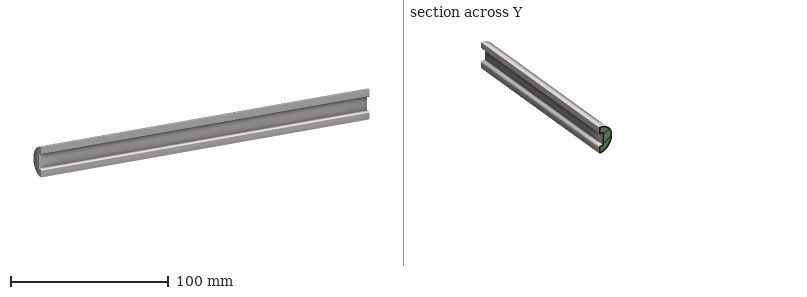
import cadquery as cq

bar_length = 240.0
bar_radius = 10.0
groove_width = 9.5
groove_depth = 3.0
mouth_chamfer = 0.7

half_round = (
    cq.Workplane("XZ")
    .moveTo(0, bar_radius)
    .threePointArc((-bar_radius, 0), (0, -bar_radius))
    .close()
    .extrude(bar_length / 2, both=True)
)

half_groove = groove_width / 2
half_mouth = half_groove + mouth_chamfer
groove = (
    cq.Workplane("XZ")
    .polyline([
        (0, half_mouth),
        (-mouth_chamfer, half_groove),
        (-groove_depth, half_groove),
        (-groove_depth, -half_groove),
        (-mouth_chamfer, -half_groove),
        (0, -half_mouth),
    ])
    .close()
    .extrude(bar_length / 2, both=True)
)

result = half_round.cut(groove)